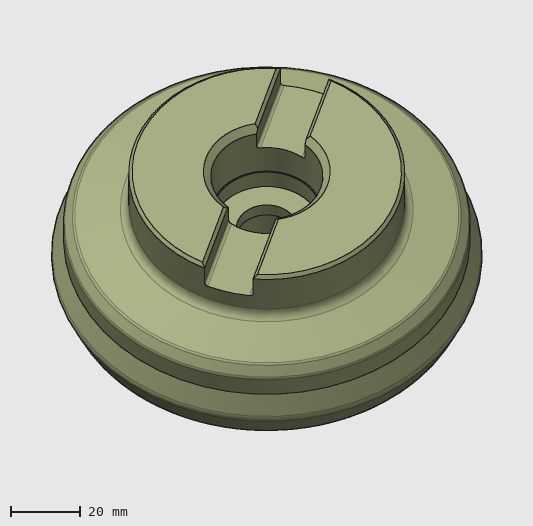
import cadquery as cq
import math

height = 50.0
outer_radius = 61.6
split_height = 20.2
shaft_hole_diameter = 17.5

bottom_radius = 50.4
lower_corner_radius = 58.3
lower_corner_height = 4.1
lower_corner_fillet = 1.2
bulge_height = 13.0
bulge_fillet = 2.5
bulge_upper_angle = 28.0
bulge_lower_angle = 22.0

flange_radius = 116.3 / 2
flange_chamfer_height = 27.1
flange_chamfer_radius = 55.3
flange_top_height = 30.3
flange_edge_fillet = 1.2
neck_radius = 79.0 / 2
neck_base_height = 33.5
neck_fillet = 3.0
edge_chamfer = 1.0

bore_diameter = 32.0
lower_bore_diameter = 31.3
bore_step_height = 31.0
bore_floor_height = 24.6
bore_chamfer = 2.1

slot_width = 14.4
slot_depth = 8.5
slot_floor_fillet = 1.0


def cylinder(diameter, bottom, top):
    """Cylinder on the Z axis between two heights."""
    return cq.Workplane("XY").workplane(offset=bottom).circle(diameter / 2).extrude(top - bottom)


def circle_edge(radius, z):
    """Selector for the full-circle edge on the Z axis with this radius and height."""
    margin = 0.1
    return cq.selectors.BoxSelector(
        (-radius - margin, -radius - margin, z - margin),
        (radius + margin, radius + margin, z + margin),
        boundingbox=True,
    )


def bulge_point(angle):
    """Point on the bulge arc, at an angle above the horizontal."""
    tilt = math.radians(angle)
    return (
        outer_radius - bulge_fillet + bulge_fillet * math.cos(tilt),
        bulge_height + bulge_fillet * math.sin(tilt),
    )


def make_rim():
    rim = (
        cq.Workplane("XZ")
        .lineTo(bottom_radius, 0)
        .lineTo(lower_corner_radius, lower_corner_height)
        .lineTo(*bulge_point(-bulge_lower_angle))
        .threePointArc(bulge_point(0), bulge_point(bulge_upper_angle))
        .lineTo(flange_radius, split_height)
        .lineTo(0, split_height)
        .close()
        .revolve(360, (0, 0), (0, 1))
    )
    rim = rim.edges(circle_edge(lower_corner_radius, lower_corner_height)).fillet(lower_corner_fillet)
    return rim.cut(cylinder(shaft_hole_diameter, 0, split_height))


def make_hub_blank():
    hub = (
        cq.Workplane("XZ")
        .moveTo(0, split_height)
        .lineTo(flange_radius, split_height)
        .lineTo(flange_radius, flange_chamfer_height)
        .lineTo(flange_chamfer_radius, flange_top_height)
        .lineTo(neck_radius, neck_base_height)
        .lineTo(neck_radius, height)
        .lineTo(0, height)
        .close()
        .revolve(360, (0, 0), (0, 1))
    )
    hub = hub.edges(circle_edge(flange_radius, flange_chamfer_height)).fillet(flange_edge_fillet)
    hub = hub.edges(circle_edge(flange_chamfer_radius, flange_top_height)).fillet(flange_edge_fillet)
    hub = hub.edges(circle_edge(neck_radius, neck_base_height)).fillet(neck_fillet)
    return hub.faces(">Z").edges().chamfer(edge_chamfer)


def make_bore():
    upper = cylinder(bore_diameter, bore_step_height, height)
    mouth = (
        cq.Workplane("XY")
        .workplane(offset=height - bore_chamfer)
        .circle(bore_diameter / 2)
        .workplane(offset=bore_chamfer)
        .circle(bore_diameter / 2 + bore_chamfer)
        .loft()
    )
    lower = cylinder(lower_bore_diameter, bore_floor_height, bore_step_height)
    shaft_hole = cylinder(shaft_hole_diameter, split_height, bore_floor_height)
    return upper.union(mouth).union(lower).union(shaft_hole)


def make_slot():
    half_width = slot_width / 2
    floor = height - slot_depth
    return (
        cq.Workplane("XZ")
        .moveTo(-half_width - edge_chamfer, height)
        .lineTo(-half_width, height - edge_chamfer)
        .lineTo(-half_width, floor)
        .lineTo(half_width, floor)
        .lineTo(half_width, height - edge_chamfer)
        .lineTo(half_width + edge_chamfer, height)
        .close()
        .extrude(outer_radius, both=True)
        .faces("<Z")
        .edges("|Y")
        .fillet(slot_floor_fillet)
    )


rim = make_rim()
hub = make_hub_blank().cut(make_bore()).cut(make_slot())

result = cq.Compound.makeCompound([rim.val(), hub.val()])